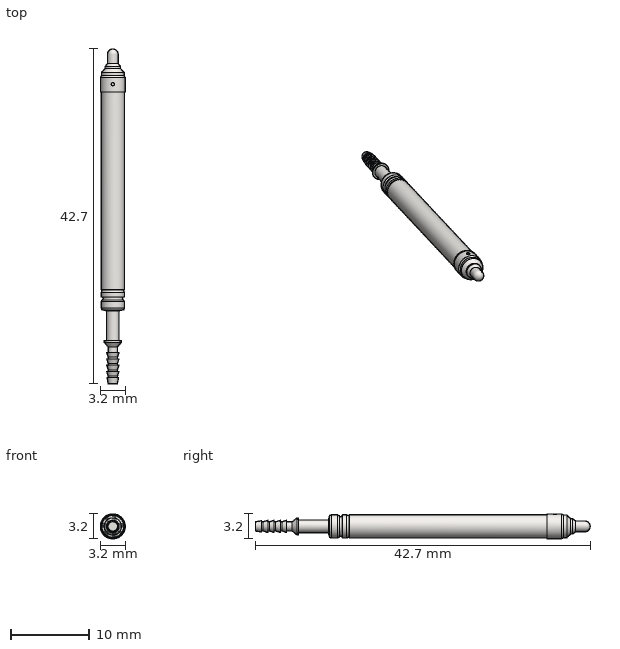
import cadquery as cq
import math


overall_length = 42.7

pin_radius = 0.7
dome_length = 0.7
pin_end = 1.87

nose_land_radius = 1.0
nose_land_start = 2.25
nose_land_end = 2.5
nose_end = 3.0
nose_radius = 1.46

barrel_radius = 1.5
collar_radius = 1.6
collar_chamfer_start = 3.42
collar_start = 3.65
collar_end = 5.5
barrel_end = 33.25
barrel_end_chamfer_length = 0.25
barrel_end_chamfer_depth = 0.1
end_cone_end = 33.4

front_groove_start = 30.68
front_groove_floor_start = 30.73
front_groove_end = 31.07
front_groove_floor_radius = 1.37
rear_groove_start = 31.6
rear_groove_floor_start = 31.63
rear_groove_floor_end = 32.0
rear_groove_end = 32.22
rear_groove_front_edge_radius = 1.42
rear_groove_rear_edge_radius = 1.36
rear_groove_floor_radius = 1.25

shaft_radius = 0.82
flange_radius = 1.1
flange_start = 37.2
flange_end = 37.4
neck_start = 38.0
neck_radius = 0.6
barb_count = 5
barb_pitch = 0.8
first_barb = 38.7
barb_radius = 0.8
barb_length = 0.6
end_barb_radius = 0.74

dimple_station = 4.5
dimple_diameter = 0.4
dimple_depth = 0.1


def make_turned_body():
    """Revolve the outline of the whole probe except its barbs."""
    arc_half = math.sqrt(0.5)
    profile = (
        cq.Workplane("XY")
        .moveTo(0, 0)
        .threePointArc(
            (pin_radius * arc_half, -dome_length * (1 - arc_half)),
            (pin_radius, -dome_length),
        )
        .lineTo(pin_radius, -pin_end)
        .lineTo(nose_land_radius, -nose_land_start)
        .lineTo(nose_land_radius, -nose_land_end)
        .lineTo(nose_radius, -nose_end)
        .lineTo(nose_radius, -collar_chamfer_start)
        .lineTo(collar_radius, -collar_start)
        .lineTo(collar_radius, -collar_end)
        .lineTo(barrel_radius, -collar_end)
    )
    profile = add_rear_groove(add_front_groove(profile))
    profile = (
        profile.lineTo(barrel_radius, -(barrel_end - barrel_end_chamfer_length))
        .lineTo(barrel_radius - barrel_end_chamfer_depth, -barrel_end)
        .lineTo(shaft_radius, -end_cone_end)
        .lineTo(shaft_radius, -flange_start)
        .lineTo(flange_radius, -flange_start)
        .lineTo(flange_radius, -flange_end)
        .lineTo(neck_radius, -neck_start)
        .lineTo(neck_radius, -overall_length)
        .lineTo(0, -overall_length)
        .close()
    )
    return profile.revolve(360, (0, 0, 0), (0, 1, 0))


def add_front_groove(profile):
    """Continue the outline through the narrow groove: a steep wall, then a ramp out."""
    return (
        profile.lineTo(barrel_radius, -front_groove_start)
        .lineTo(front_groove_floor_radius, -front_groove_floor_start)
        .lineTo(barrel_radius, -front_groove_end)
    )


def add_rear_groove(profile):
    """Continue the outline through the wide groove with its rounded floor."""
    floor_middle = (rear_groove_floor_start + rear_groove_floor_end) / 2
    return (
        profile.lineTo(barrel_radius, -rear_groove_start)
        .lineTo(rear_groove_front_edge_radius, -rear_groove_floor_start)
        .threePointArc(
            (rear_groove_floor_radius, -floor_middle),
            (rear_groove_rear_edge_radius, -rear_groove_floor_end),
        )
        .lineTo(barrel_radius, -rear_groove_end)
    )


def make_barb(station, radius, length):
    """One barb: square shoulder toward the barrel, tapering toward the tail."""
    return (
        cq.Workplane("XY")
        .polyline([
            (0, -station),
            (radius, -station),
            (neck_radius, -(station + length)),
            (0, -(station + length)),
        ])
        .close()
        .revolve(360, (0, 0, 0), (0, 1, 0))
    )


def make_dimple():
    """Cutter for the shallow round mark on top of the collar."""
    return (
        cq.Workplane("XY", origin=(0, -dimple_station, collar_radius - dimple_depth))
        .circle(dimple_diameter / 2)
        .extrude(2 * dimple_depth)
    )


result = make_turned_body()
for barb_index in range(barb_count - 1):
    result = result.union(make_barb(first_barb + barb_index * barb_pitch, barb_radius, barb_length))
end_barb = first_barb + (barb_count - 1) * barb_pitch
result = result.union(make_barb(end_barb, end_barb_radius, overall_length - end_barb))
result = result.cut(make_dimple())